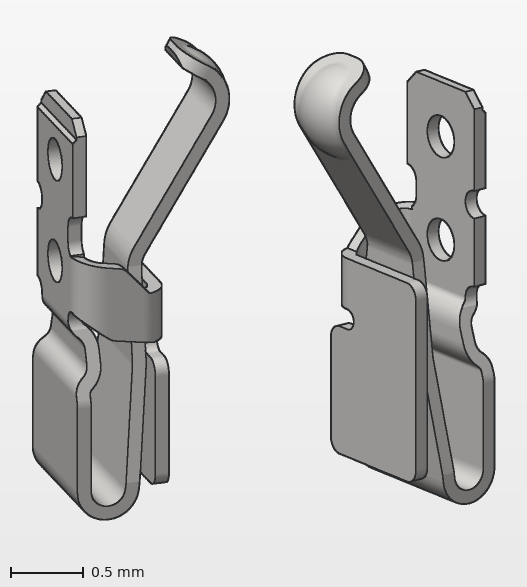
import cadquery as cq
import math

SHEET = 0.1

U_WIDTH = 0.95
PLATE_WIDTH = 0.75
NECK_WIDTH = 0.55
ARM_WIDTH = 0.5

PLATE_TOP = 2.912
TOP_CHAMFER = 0.1
STEP_DEPTH = 0.028
STEP_BOTTOM = 2.765
HOLE_DIAMETER = 0.3
HOLE_HEIGHTS = (1.765, 2.515)
NOTCH_RADIUS = 0.1
UPPER_NOTCH_Z = 2.118
TAB_NOTCH_Z = 2.008
NECK_Z = 1.422
NECK_TAPER = 20
TAPER_FILLET = 0.15

JOG_DEPTH = SHEET
JOG_TIGHT_RADIUS = 0.05
JOG_WIDE_RADIUS = 0.1
JOG_FLAT = 0.097
JOG_RADII = JOG_TIGHT_RADIUS + SHEET + JOG_WIDE_RADIUS
JOG_ANGLE = math.degrees(math.acos(1 - JOG_DEPTH / JOG_RADII))
JOG_RISE = JOG_RADII * math.sin(math.radians(JOG_ANGLE))

U_RADIUS = 0.225
LEAN = 6.2
LEAN_BEND_RADIUS = 0.2
REAR_LEG_BACK = 0.543
TAPER_BOTTOM = 0.253
TAPER_TOP = 1.756

FOLD_Z = 1.736
ARM_ANGLE = 32
FOLD_RADIUS = 0.2
ARM_LENGTH = 1.066
HOOK_ANGLE = 60
HOOK_RADIUS = 0.2
TIP_LENGTH = 0.19
TIP_CORNER_RADIUS = 0.2
TIP_BEVEL_ON_END = 0.05
TIP_BEVEL_UNDER = 0.052

DOME_RADIUS = 0.346
DOME_START = -74
DOME_END = 90
DOME_DROP = 0.03
DOME_ROOT_RADIUS = 0.27
DOME_HALF_WIDTH = 0.245
DOME_CROWN = 0.065
DOME_RIM_FILLET = 0.06

TAB_OUTER_X = 0.525
TAB_BEND_RADIUS = 0.1
SHIELD_BEND_RADIUS = 0.083
SHIELD_FRONT = 0.55
SHIELD_BACK = SHIELD_FRONT + SHEET
SHIELD_LEFT = -0.425
SHIELD_BOTTOM = 0.21
SHIELD_TOP = 1.652
SHIELD_CORNER_RADIUS = 0.1
RELIEF_BOTTOM = 1.137
RELIEF_TOP = 1.282
TAB_TOP_FRONT = (0, 1.918)
TAB_TOP_CORNER = (0.325, 1.855)
TAB_SLOPE_END = (0.51, SHIELD_TOP)
TAB_BOTTOM_CORNER = (0.235, 1.338)
TAB_BOTTOM_FRONT = (0, 1.508)
TAB_CORNER_RADIUS = 0.1
TAB_BEND_X = TAB_OUTER_X - SHEET - TAB_BEND_RADIUS
SHIELD_BEND_X = TAB_OUTER_X - SHEET - SHIELD_BEND_RADIUS

MIDDLE_Y = 0.3
CLEAR = 4.0


def direction(degrees):
    """Unit vector at an angle from the first axis of a plane."""
    return cq.Vector(math.cos(math.radians(degrees)), math.sin(math.radians(degrees)))


def bent_section(plane, start, heading, moves):
    """Wire around a bent sheet whose mid-line begins at start, drawn in the given plane.

    Each move is (straight length, turn in degrees with left positive, inside bend radius).
    """

    def face_point(middle, side):
        return middle + direction(heading + 90 * side) * (SHEET / 2)

    def line(first, last):
        edges.append(cq.Edge.makeLine(plane.toWorldCoords(first), plane.toWorldCoords(last)))

    edges = []
    sides = (1, -1)
    middle = cq.Vector(*start)
    ends = {side: face_point(middle, side) for side in sides}
    line(ends[1], ends[-1])
    for length, turn, inside_radius in moves:
        if length:
            middle += direction(heading) * length
            for side in sides:
                line(ends[side], face_point(middle, side))
                ends[side] = face_point(middle, side)
        if turn:
            bend_side = 1 if turn > 0 else -1
            outward = heading - 90 * bend_side
            middle_radius = inside_radius + SHEET / 2
            pivot = middle - direction(outward) * middle_radius
            for side in sides:
                radius = middle_radius - bend_side * side * SHEET / 2
                arc = [ends[side]]
                arc += [pivot + direction(outward + turn * part) * radius for part in (0.5, 1)]
                edges.append(cq.Edge.makeThreePointArc(*[plane.toWorldCoords(point) for point in arc]))
                ends[side] = arc[-1]
            heading += turn
            middle = pivot + direction(outward + turn) * middle_radius
    line(ends[1], ends[-1])
    return cq.Workplane(plane).add(cq.Wire.assembleEdges(edges)).toPending()


def strip_moves():
    """Moves of the spring strip in the YZ plane, from the top of the plate to the tip of the arm."""
    jog_bottom = NECK_Z - 2 * JOG_RISE - JOG_FLAT
    lean = math.radians(LEAN)
    lean_outer = LEAN_BEND_RADIUS + SHEET
    lean_start_y = U_RADIUS + U_RADIUS * math.cos(lean)
    lean_run = REAR_LEG_BACK - lean_start_y - lean_outer * (1 - math.cos(lean))
    lean_length = lean_run / math.sin(lean)
    leg_start_z = U_RADIUS + (lean_outer - U_RADIUS) * math.sin(lean) + lean_length * math.cos(lean)
    return [
        (PLATE_TOP - NECK_Z, JOG_ANGLE, JOG_TIGHT_RADIUS),
        (0, -JOG_ANGLE, JOG_WIDE_RADIUS),
        (JOG_FLAT, -JOG_ANGLE, JOG_WIDE_RADIUS),
        (0, JOG_ANGLE, JOG_TIGHT_RADIUS),
        (jog_bottom - U_RADIUS, 180 - LEAN, U_RADIUS - SHEET),
        (lean_length, LEAN, LEAN_BEND_RADIUS),
        (FOLD_Z - leg_start_z, -ARM_ANGLE, FOLD_RADIUS),
        (ARM_LENGTH, ARM_ANGLE + HOOK_ANGLE, HOOK_RADIUS),
        (TIP_LENGTH, 0, 0),
    ]


def mirrored_outline(right_half):
    """Closed XZ outline, symmetric about X = 0."""
    left_half = [(-x, z) for x, z in reversed(right_half)]
    return cq.Workplane("XZ").polyline(right_half + left_half).close()


def front_blank():
    """Outline of the front plate and U-bend, through the front part of Y."""
    taper_rise = (U_WIDTH - NECK_WIDTH) / 2 / math.tan(math.radians(NECK_TAPER))
    taper_start = (U_WIDTH / 2, NECK_Z - taper_rise)
    blank = mirrored_outline([
        (U_WIDTH / 2, 0),
        taper_start,
        (NECK_WIDTH / 2, NECK_Z),
        (PLATE_WIDTH / 2, NECK_Z),
        (PLATE_WIDTH / 2, PLATE_TOP - TOP_CHAMFER),
        (PLATE_WIDTH / 2 - TOP_CHAMFER, PLATE_TOP),
    ]).extrude(-MIDDLE_Y)
    for side in (-1, 1):
        corner = (side * taper_start[0], MIDDLE_Y / 2, taper_start[1])
        blank = blank.edges(cq.selectors.NearestToPointSelector(corner)).fillet(TAPER_FILLET)
    return blank


def rear_blank():
    """Outline of the rear leg and arm, through the rear part of Y."""
    outline = mirrored_outline([
        (U_WIDTH / 2, 0),
        (U_WIDTH / 2, TAPER_BOTTOM),
        (ARM_WIDTH / 2, TAPER_TOP),
        (ARM_WIDTH / 2, CLEAR),
    ])
    return outline.extrude(-CLEAR).translate((0, MIDDLE_Y, 0))


def hook_centre():
    """Y and Z of the hook bend's axis."""
    arm = math.radians(ARM_ANGLE)
    fold_outer = FOLD_RADIUS + SHEET
    fold_y = REAR_LEG_BACK + FOLD_RADIUS
    y = fold_y - (fold_outer + HOOK_RADIUS) * math.cos(arm) + ARM_LENGTH * math.sin(arm)
    z = FOLD_Z + (fold_outer + HOOK_RADIUS) * math.sin(arm) + ARM_LENGTH * math.cos(arm)
    return y, z


def front_cuts():
    """Holes, edge notches and the top step of the front plate."""
    half = PLATE_WIDTH / 2
    holes = cq.Workplane("XZ").pushPoints([(0, z) for z in HOLE_HEIGHTS]).circle(HOLE_DIAMETER / 2)
    notch_points = [(-half, UPPER_NOTCH_Z), (half, UPPER_NOTCH_Z), (half, TAB_NOTCH_Z)]
    notch_points += [(-half, NECK_Z), (half, NECK_Z)]
    notches = cq.Workplane("XZ").pushPoints(notch_points).circle(NOTCH_RADIUS)
    slot_middle = (half, (UPPER_NOTCH_Z + TAB_NOTCH_Z) / 2)
    slot = cq.Workplane("XZ").center(*slot_middle).rect(2 * NOTCH_RADIUS, UPPER_NOTCH_Z - TAB_NOTCH_Z)
    tab_room = cq.Workplane("XZ").moveTo(TAB_BEND_X, NECK_Z).lineTo(half, NECK_Z)
    tab_room = tab_room.lineTo(half, TAB_NOTCH_Z).lineTo(TAB_BEND_X, TAB_NOTCH_Z).close()
    cuts = (
        cq.Workplane("YZ")
        .polyline([
            (0, STEP_BOTTOM),
            (STEP_DEPTH, STEP_BOTTOM + STEP_DEPTH),
            (STEP_DEPTH, PLATE_TOP),
            (0, PLATE_TOP),
        ])
        .close()
        .extrude(PLATE_WIDTH, both=True)
    )
    for sketch in (holes, notches, slot, tab_room):
        cuts = cuts.union(sketch.extrude(-MIDDLE_Y))
    return cuts


def tip_waste():
    """Material outside the rounded end of the tip and under its bevel."""
    y, z = hook_centre()
    outward = cq.Vector(0, *direction(HOOK_ANGLE).toTuple()[:2])
    along = cq.Vector(0, *direction(HOOK_ANGLE + 90).toTuple()[:2])
    end = cq.Vector(0, y, z) + outward * (HOOK_RADIUS + SHEET) + along * TIP_LENGTH
    half = ARM_WIDTH / 2
    plan = cq.Plane(origin=end, xDir=(-1, 0, 0), normal=outward)
    profile = cq.Plane(origin=end - outward * SHEET, xDir=along, normal=(-1, 0, 0))
    waste = (
        cq.Workplane(profile)
        .polyline([(-TIP_BEVEL_UNDER, 0), (0, 0), (0, TIP_BEVEL_ON_END)])
        .close()
        .extrude(ARM_WIDTH, both=True)
    )
    arc_offset = TIP_CORNER_RADIUS * math.sqrt(0.5)
    for side in (-1, 1):
        flat_end = side * (half - TIP_CORNER_RADIUS)
        corner = (
            cq.Workplane(plan)
            .moveTo(flat_end, 0)
            .threePointArc(
                (flat_end + side * arc_offset, arc_offset - TIP_CORNER_RADIUS),
                (side * half, -TIP_CORNER_RADIUS),
            )
            .lineTo(side * half, 0)
            .close()
            .extrude(2 * SHEET, both=True)
        )
        waste = waste.union(corner)
    return waste


def contact_dome():
    """Barrel-shaped swelling: an arc across the strip, revolved about an axis parallel to X."""
    y, z = hook_centre()
    axis_z = z - DOME_DROP
    edge_radius = DOME_RADIUS - DOME_CROWN
    return (
        cq.Workplane("XY")
        .moveTo(-DOME_HALF_WIDTH, DOME_ROOT_RADIUS)
        .lineTo(-DOME_HALF_WIDTH, edge_radius)
        .threePointArc((0, DOME_RADIUS), (DOME_HALF_WIDTH, edge_radius))
        .lineTo(DOME_HALF_WIDTH, DOME_ROOT_RADIUS)
        .close()
        .revolve(DOME_END - DOME_START, (0, 0, 0), (1, 0, 0))
        .rotate((0, 0, 0), (1, 0, 0), DOME_START)
        .translate((0, y, axis_z))
    )


def blend_dome(body):
    """Fillet the rim where the dome meets the outer faces of the arm, hook and tip."""
    reach = cq.selectors.BoxSelector(
        (-DOME_HALF_WIDTH, SHIELD_BACK, FOLD_Z),
        (DOME_HALF_WIDTH, CLEAR, CLEAR),
    )
    rim = body.edges(reach).edges("not %LINE")
    return rim.fillet(DOME_RIM_FILLET)


def wrap_tab():
    """Tab bent back from the right edge of the front plate and in again to the shield plate."""
    wall = SHIELD_FRONT - SHIELD_BEND_RADIUS - SHEET - TAB_BEND_RADIUS
    moves = [(0, 90, TAB_BEND_RADIUS), (wall, 90, SHIELD_BEND_RADIUS)]
    bent = bent_section(cq.Plane.XY(), (TAB_BEND_X, SHEET / 2), 0, moves).extrude(PLATE_TOP)
    edge_shape = (
        cq.Workplane("YZ")
        .polyline([
            TAB_TOP_FRONT,
            TAB_TOP_CORNER,
            TAB_SLOPE_END,
            (SHIELD_BACK, SHIELD_TOP),
            (SHIELD_BACK, RELIEF_TOP),
            (SHIELD_FRONT, RELIEF_TOP),
            TAB_BOTTOM_CORNER,
            TAB_BOTTOM_FRONT,
        ])
        .close()
        .extrude(U_WIDTH)
    )
    for y, z in (TAB_TOP_CORNER, TAB_BOTTOM_CORNER):
        edge_shape = edge_shape.edges(cq.selectors.NearestToPointSelector((U_WIDTH / 2, y, z)))
        edge_shape = edge_shape.fillet(TAB_CORNER_RADIUS)
    return bent.intersect(edge_shape)


def shield_plate():
    """Flat rear plate with rounded corners and a relief slot under the tab."""
    relief_height = RELIEF_TOP - RELIEF_BOTTOM
    plate = (
        cq.Workplane("XZ", origin=(0, SHIELD_FRONT, 0))
        .moveTo(SHIELD_LEFT, SHIELD_BOTTOM)
        .lineTo(TAB_OUTER_X, SHIELD_BOTTOM)
        .lineTo(TAB_OUTER_X, RELIEF_BOTTOM)
        .lineTo(SHIELD_BEND_X, RELIEF_BOTTOM)
        .threePointArc(
            (SHIELD_BEND_X - relief_height / 2, (RELIEF_BOTTOM + RELIEF_TOP) / 2),
            (SHIELD_BEND_X, RELIEF_TOP),
        )
        .lineTo(SHIELD_BEND_X, SHIELD_TOP)
        .lineTo(SHIELD_LEFT, SHIELD_TOP)
        .close()
        .extrude(-SHEET)
    )
    outer_corners = plate.edges("|Y and <X").add(plate.edges("|Y and >X"))
    return outer_corners.fillet(SHIELD_CORNER_RADIUS)


strip_wire = bent_section(cq.Plane.YZ(), (SHEET / 2, PLATE_TOP), -90, strip_moves())
strip = strip_wire.extrude(U_WIDTH / 2, both=True)
strip = strip.intersect(front_blank().union(rear_blank()))
strip = strip.cut(front_cuts())
strip = blend_dome(strip.union(contact_dome())).cut(tip_waste())
clip = strip.union(wrap_tab()).union(shield_plate())
result = cq.Workplane(clip.solids().val())